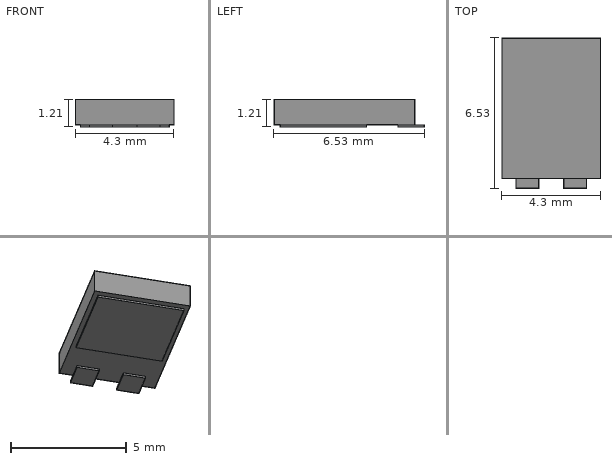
import cadquery as cq

HOUSING_WIDTH = 4.3
HOUSING_LENGTH = 6.11
HOUSING_HEIGHT = 1.105

TERMINAL_THICKNESS = 0.1
PAD_WIDTH = 3.865
PAD_LENGTH = 3.76
PAD_INSET = 0.26
LEAD_WIDTH = 1.0
LEAD_LENGTH = 1.15
LEAD_PITCH = 2.075
LEAD_OVERHANG = 0.42

HOUSING_FRONT = -HOUSING_LENGTH / 2
HOUSING_BACK = HOUSING_LENGTH / 2


def block(width, length, height, center_x, front_y, bottom_z):
    """Box centred on center_x, starting at front_y and bottom_z."""
    return (
        cq.Workplane("XY")
        .box(width, length, height, centered=(True, False, False))
        .translate((center_x, front_y, bottom_z))
    )


def make_housing():
    return block(HOUSING_WIDTH, HOUSING_LENGTH, HOUSING_HEIGHT, 0, HOUSING_FRONT, TERMINAL_THICKNESS)


def make_pad():
    front_y = HOUSING_BACK - PAD_INSET - PAD_LENGTH
    return block(PAD_WIDTH, PAD_LENGTH, TERMINAL_THICKNESS, 0, front_y, 0)


def make_lead(center_x):
    front_y = HOUSING_FRONT - LEAD_OVERHANG
    return block(LEAD_WIDTH, LEAD_LENGTH, TERMINAL_THICKNESS, center_x, front_y, 0)


housing = make_housing()
pad = make_pad()
leads = [make_lead(side * LEAD_PITCH / 2) for side in (-1, 1)]

result = cq.Compound.makeCompound([housing.val(), pad.val(), *[lead.val() for lead in leads]])